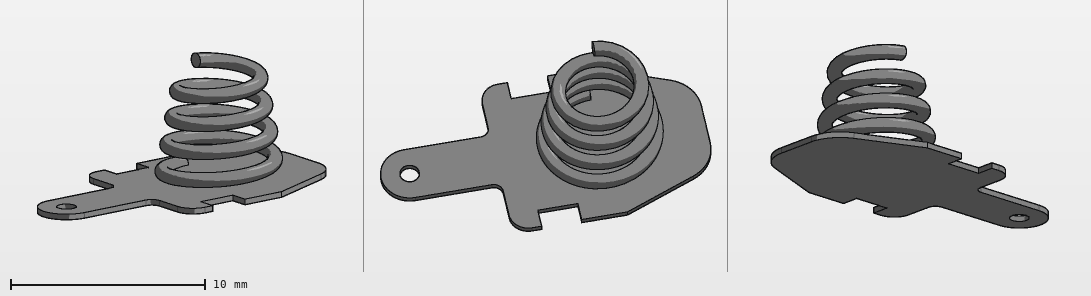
import cadquery as cq
import math

plate_thickness = 0.3
half_width = 9.0 / 2
top_edge = 5.49
overall_length = 17.0
shoulder_y = top_edge - 5.0
top_half_width = 2.5
top_corner_radius = 2.0

notch_depth = 1.0
notch_top = top_edge - 7.4
notch_bottom = notch_top - 2.09
body_bottom = top_edge - 11.0
body_corner_radius = 1.0

tab_half_width = 1.5
tab_fillet = 0.5
tab_hole_diameter = 1.0
tab_end_y = top_edge - overall_length
tab_center_y = tab_end_y + tab_half_width

overall_height = 6.38
wire_radius = 0.76 / 2
coil_start_radius = 3.0
coil_end_radius = 2.0
turns = 4
coil_start_z = plate_thickness
coil_end_z = overall_height - wire_radius
path_points = 30 * turns


def corners_at(x, y):
    """Select the mirrored pair of vertical plate edges at (+x, y) and (-x, y)."""
    reach = 0.02
    boxes = [
        cq.selectors.BoxSelector(
            (side * x - reach, y - reach, 0),
            (side * x + reach, y + reach, plate_thickness),
        )
        for side in (-1, 1)
    ]
    return boxes[0] + boxes[1]


def make_plate():
    """Tapered plate with two side notches and a round-ended tab with a hole."""
    notch_x = half_width - notch_depth
    plate = (
        cq.Workplane("XY")
        .moveTo(0, top_edge)
        .lineTo(top_half_width, top_edge)
        .lineTo(half_width, shoulder_y)
        .lineTo(half_width, notch_top)
        .lineTo(notch_x, notch_top)
        .lineTo(notch_x, notch_bottom)
        .lineTo(half_width, notch_bottom)
        .lineTo(half_width, body_bottom)
        .lineTo(tab_half_width, body_bottom)
        .lineTo(tab_half_width, tab_center_y)
        .threePointArc(
            (tab_half_width * math.sqrt(0.5), tab_center_y - tab_half_width * math.sqrt(0.5)),
            (0, tab_end_y),
        )
        .mirrorY()
        .extrude(plate_thickness)
    )
    rounded_corners = (
        (top_half_width, top_edge, top_corner_radius),
        (half_width, body_bottom, body_corner_radius),
        (tab_half_width, body_bottom, tab_fillet),
    )
    for x, y, radius in rounded_corners:
        plate = plate.edges("|Z").edges(corners_at(x, y)).fillet(radius)
    hole = (
        cq.Workplane("XY")
        .center(0, tab_center_y)
        .circle(tab_hole_diameter / 2)
        .extrude(plate_thickness)
    )
    return plate.cut(hole)


def coil_point(t):
    """Point on the coil centerline, t running from 0 (bottom) to 1 (top)."""
    angle = math.pi + 2 * math.pi * turns * t
    radius = coil_start_radius + (coil_end_radius - coil_start_radius) * t
    z = coil_start_z + (coil_end_z - coil_start_z) * t
    return (radius * math.cos(angle), radius * math.sin(angle), z)


def make_spring():
    """Conical coil of round wire, cut off where it would pass below the plate."""
    path = cq.Workplane("XY").parametricCurve(coil_point, N=path_points)
    coil = (
        cq.Workplane("XZ")
        .center(-coil_start_radius, coil_start_z)
        .circle(wire_radius)
        .sweep(path, isFrenet=True)
    )
    keep_size = 3 * coil_start_radius
    above_bottom = cq.Workplane("XY").box(
        keep_size, keep_size, 2 * overall_height, centered=(True, True, False)
    )
    return coil.intersect(above_bottom)


result = make_plate().union(make_spring())